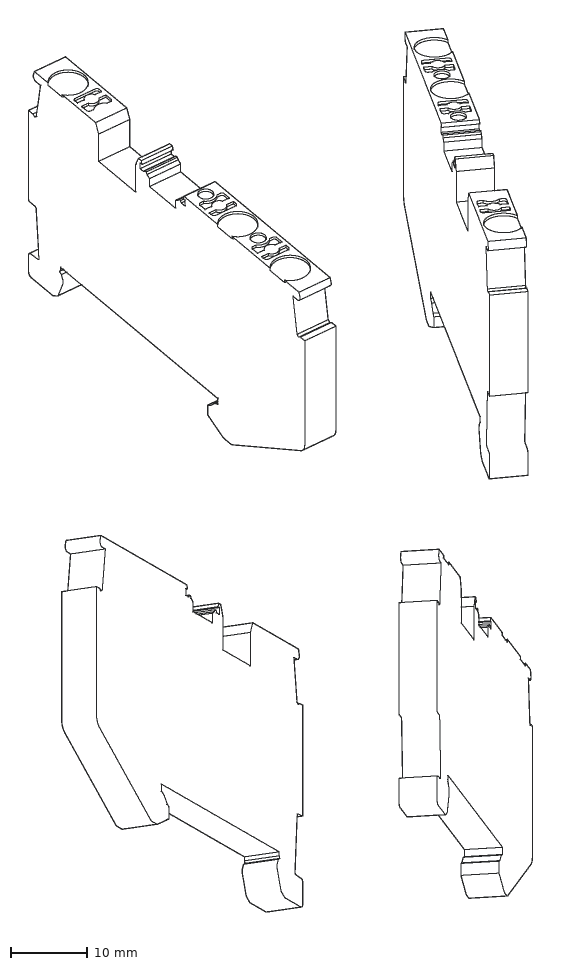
import cadquery as cq
import math

LENGTH = 60.5
WIDTH = 5.15
HEIGHT = 35.3

SHOULDER_Z = 27.9
LIP_Z = 33.75
RAIL_Z = 5.85
HEEL_Z = 12.6
FOOT_TOP_Z = 4.05

POCKET_LEFT = 15.35
POCKET_RIGHT = 23.4
POCKET_FLOOR_Z = 29.15
POCKET_FLARE = 0.65

SEAT_CENTER = 29.35
SEAT_FLOOR_Z = 32.05

TERMINALS = [(5.8, 1, False), (42.95, -1, True), (54.45, -1, True)]
RECESS_DEPTH = 0.395
FUNNEL_RADIUS = 2.65
FUNNEL_Y = -0.4
SLOT_OFFSET = 4.6
DRIVER_HOLE_DIA = 2.0
DRIVER_SLOT_WIDTH = 0.9
FRAME_NEAR = 1.4
FRAME_FAR = 1.95
FRAME_HEIGHT = 4.0
FRAME_CORNER = 0.35
TEST_HOLE_DIA = 2.1
TEST_HOLE_OFFSET = 2.95
BITE_RADIUS = 1.5


def top_lip(side):
    """Corners of one end lip, from the shoulder up to the top; side maps the inset to x."""
    return [
        (side(0), SHOULDER_Z, 0), (side(0.95), SHOULDER_Z, 0), (side(1.35), SHOULDER_Z - 0.25, 0),
        (side(1.7), SHOULDER_Z, 0), (side(2.6), LIP_Z, 0), (side(1.35), LIP_Z, 0.5),
        (side(0.95), HEIGHT - 0.95, 0.3), (side(1.3), HEIGHT, 0),
    ]


def seat_half(side):
    """Corners of one half of the marker seat, from the top down to its floor."""
    return [
        (side(4.65), HEIGHT, 0), (side(4.5), HEIGHT - 0.55, 0), (side(4.9), HEIGHT - 0.55, 0),
        (side(4.9), LIP_Z, 0), (side(4.1), LIP_Z, 0), (side(3.95), LIP_Z + 0.3, 0),
        (side(3.55), LIP_Z + 0.3, 0), (side(3.4), LIP_Z, 0), (side(2.85), LIP_Z - 0.35, 0),
        (side(2.85), SEAT_FLOOR_Z, 0),
    ]


def outline_corners():
    """Corners (x, z, rounding radius) of the housing, clockwise from the left shoulder."""
    left_lip = top_lip(lambda inset: inset)
    right_lip = top_lip(lambda inset: LENGTH - inset)
    left_seat = seat_half(lambda offset: SEAT_CENTER - offset)
    right_seat = seat_half(lambda offset: SEAT_CENTER + offset)
    pocket = [
        (POCKET_LEFT - POCKET_FLARE, HEIGHT, 0), (POCKET_LEFT, LIP_Z, 0),
        (POCKET_LEFT, POCKET_FLOOR_Z, 0), (POCKET_RIGHT, POCKET_FLOOR_Z, 0),
        (POCKET_RIGHT, LIP_Z, 0), (POCKET_RIGHT + POCKET_FLARE, HEIGHT, 0),
    ]
    sloping_underside = [(LENGTH, 9.25, 1.8), (44.45, 0, 1.2), (42.65, 0, 1.2)]
    right_hook = [
        (39.2, 1.7, 0), (39.2, 3.3, 0), (39.75, 3.55, 0),
        (40.7, 4.6, 0), (41.45, 4.9, 0), (41.45, RAIL_Z, 0),
    ]
    left_hook = [
        (6.95, RAIL_Z, 0), (6.95, 5.3, 0), (6.8, 5.0, 0), (7.2, 4.8, 0),
        (7.7, 3.75, 0.9), (6.4, 0.6, 0.6), (5.3, 0, 0.6),
    ]
    left_foot = [(0, 0, 0.6), (0, FOOT_TOP_Z - 0.1, 0.5), (2.3, FOOT_TOP_Z, 0.25)]
    heel = [(1.65, HEEL_Z, 0.25), (0, HEEL_Z, 0.25)]
    return (
        left_lip + pocket + left_seat + right_seat[::-1] + right_lip[::-1]
        + sloping_underside + right_hook + left_hook + left_foot + heel
    )


def housing():
    """Extrude the outline across the width, with an arc at every rounded corner."""
    corners = outline_corners()
    outline = cq.Workplane("XZ", origin=(0, WIDTH / 2, 0)).moveTo(*corners[0][:2])
    following = corners[1:] + corners[:1]
    for before, (x, z, radius), after in zip(corners, following, following[1:]):
        corner = cq.Vector(x, z)
        if radius == 0:
            outline = outline.lineTo(x, z)
            continue
        back = (cq.Vector(*before[:2]) - corner).normalized()
        ahead = (cq.Vector(*after[:2]) - corner).normalized()
        half_angle = back.getAngle(ahead) / 2
        tangent_length = radius / math.tan(half_angle)
        start = corner + back * tangent_length
        end = corner + ahead * tangent_length
        middle = corner + (back + ahead).normalized() * (radius / math.sin(half_angle) - radius)
        outline = outline.lineTo(start.x, start.y).threePointArc((middle.x, middle.y), (end.x, end.y))
    return outline.close().extrude(WIDTH)


def recess(x, y, radius):
    return cq.Workplane("XY", origin=(x, y, HEIGHT - RECESS_DEPTH)).circle(radius).extrude(RECESS_DEPTH)


def driver_slot(x, direction):
    """Scalloped frame around a raised driver-hole mark."""
    base = cq.Workplane("XY", origin=(x, 0, HEIGHT - RECESS_DEPTH))
    frame = (
        base.center(direction * (FRAME_FAR - FRAME_NEAR) / 2, 0)
        .rect(FRAME_NEAR + FRAME_FAR, FRAME_HEIGHT).extrude(RECESS_DEPTH)
        .edges("|Z").fillet(FRAME_CORNER)
    )
    frame = frame.cut(recess(x + direction * TEST_HOLE_OFFSET, 0, BITE_RADIUS))
    mark = base.rect(DRIVER_SLOT_WIDTH, FRAME_HEIGHT).extrude(RECESS_DEPTH)
    mark = mark.union(recess(x, 0, DRIVER_HOLE_DIA / 2))
    return frame.cut(mark)


result = housing()
for funnel_x, direction, has_test_hole in TERMINALS:
    slot_x = funnel_x + direction * SLOT_OFFSET
    result = result.cut(recess(funnel_x, FUNNEL_Y, FUNNEL_RADIUS))
    result = result.cut(driver_slot(slot_x, direction))
    if has_test_hole:
        result = result.cut(recess(slot_x + direction * TEST_HOLE_OFFSET, 0, TEST_HOLE_DIA / 2))